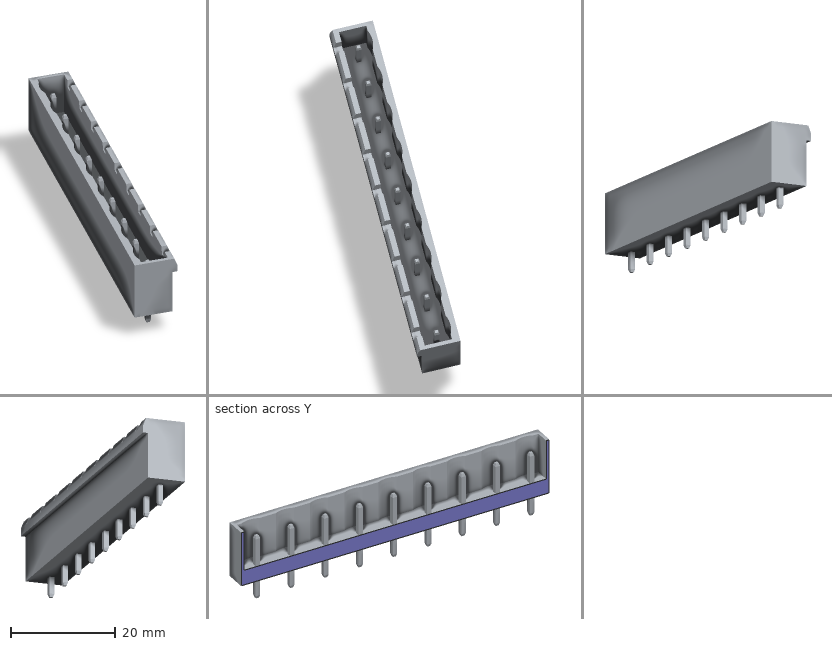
import cadquery as cq

pole_count = 9
pitch = 7.62
pole_positions = [(i - (pole_count - 1) / 2) * pitch for i in range(pole_count)]

length = pole_count * pitch
depth = 7.6
height = 12.0
front_y = -depth / 2
back_y = depth / 2

lip_overhang = 1.0
lip_height = 3.0
lip_bevel_depth = 0.6
lip_bevel_height = 1.5

end_wall = 0.75
front_wall = 1.5
back_wall = 0.7
floor_thickness = 3.4

scallop_width = 4.0
scallop_depth = 0.45

notch_top_width = 2.0
notch_floor_width = 1.5
notch_depth = 1.5

pin_size = 1.0
pin_tail = 4.0
pin_top_gap = 2.0
pin_taper_length = 0.6
pin_taper_inset = 0.2


def make_housing():
    """Rectangular body with the bevelled lip, extruded along X."""
    lip_y = back_y + lip_overhang
    profile = [
        (front_y, 0),
        (back_y, 0),
        (back_y, height - lip_height),
        (lip_y, height - lip_height),
        (lip_y, height - lip_bevel_height),
        (lip_y - lip_bevel_depth, height),
        (front_y, height),
    ]
    return cq.Workplane("YZ").polyline(profile).close().extrude(length / 2, both=True)


def make_cavity():
    """Cavity whose front side bulges into an arc at every pole."""
    half_length = length / 2 - end_wall
    cavity_front = front_y + front_wall
    cavity_back = back_y - back_wall
    outline = cq.Workplane("XY", origin=(0, 0, floor_thickness)).moveTo(-half_length, cavity_front)
    for x in pole_positions:
        outline = outline.lineTo(x - scallop_width / 2, cavity_front).threePointArc(
            (x, cavity_front - scallop_depth), (x + scallop_width / 2, cavity_front)
        )
    outline = outline.lineTo(half_length, cavity_front)
    outline = outline.lineTo(half_length, cavity_back).lineTo(-half_length, cavity_back)
    return outline.close().extrude(height - floor_thickness)


def make_notches():
    """Tapered slots open at the top, reaching from the cavity out past the lip."""
    floor_z = height - notch_depth
    notches = cq.Workplane("XY")
    for x in pole_positions:
        profile = [
            (x - notch_floor_width / 2, floor_z),
            (x + notch_floor_width / 2, floor_z),
            (x + notch_top_width / 2, height),
            (x - notch_top_width / 2, height),
        ]
        notch = (
            cq.Workplane("XZ", origin=(0, back_y - back_wall, 0))
            .polyline(profile)
            .close()
            .extrude(-(back_wall + lip_overhang))
        )
        notches = notches.add(notch)
    return notches.combine()


def make_pin_tip(x, z, direction):
    """Tapered tip narrowing from height z towards +Z (1) or -Z (-1)."""
    tip_size = pin_size - 2 * pin_taper_inset
    return (
        cq.Workplane("XY", origin=(x, 0, z))
        .rect(pin_size, pin_size)
        .workplane(offset=direction * pin_taper_length)
        .rect(tip_size, tip_size)
        .loft(ruled=True)
    )


def make_pin(x):
    """Pin running from below the housing up into the cavity."""
    shank_bottom = pin_taper_length - pin_tail
    shank_top = height - pin_top_gap - pin_taper_length
    shank = (
        cq.Workplane("XY", origin=(x, 0, shank_bottom))
        .rect(pin_size, pin_size)
        .extrude(shank_top - shank_bottom)
    )
    return shank.union(make_pin_tip(x, shank_bottom, -1)).union(make_pin_tip(x, shank_top, 1))


result = make_housing().cut(make_cavity()).cut(make_notches())
for pole_x in pole_positions:
    result = result.union(make_pin(pole_x))